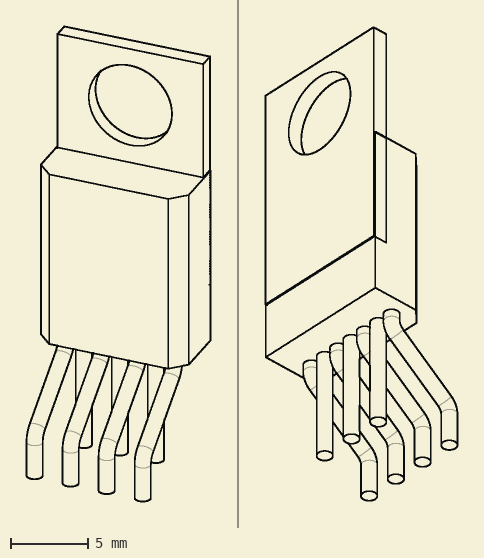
import cadquery as cq
import math


total_height = 28.85
back_y = 2.83

housing_width = 10.41
housing_depth = 4.6
housing_bottom = 7.95
housing_top = 20.48
housing_chamfer = 1.0

tab_width = 10.27
tab_thickness = 1.13
tab_proud = 0.1
tab_bottom = 12.12
hole_diameter = 5.85
hole_drop = 4.15

lead_count = 7
lead_pitch = 1.27
lead_diameter = 1.07
lead_offset = 5.1
bend_radius = lead_diameter
upper_corner_z = 6.9
lower_corner_z = 3.03


def make_tab_plate():
    """Plain rectangular plate, also used to cut its recess in the housing."""
    return cq.Workplane("XY").box(
        tab_width, tab_thickness, total_height - tab_bottom, centered=(True, False, False)
    ).translate((0, back_y - tab_thickness, tab_bottom))


def make_tab():
    """Tab plate with its round mounting hole."""
    hole = (
        cq.Workplane("XZ", origin=(0, back_y, total_height - hole_drop))
        .circle(hole_diameter / 2)
        .extrude(tab_thickness)
    )
    return make_tab_plate().cut(hole)


def make_housing():
    """Block with chamfered front side edges and a recess for the tab."""
    housing_back = back_y - tab_proud
    block = (
        cq.Workplane("XY")
        .box(housing_width, housing_depth, housing_top - housing_bottom, centered=(True, False, False))
        .translate((0, housing_back - housing_depth, housing_bottom))
        .faces("<Y")
        .edges("|Z")
        .chamfer(housing_chamfer)
    )
    return block.cut(make_tab_plate())


def make_straight_lead(x):
    """Straight round lead from the housing bottom to the tip."""
    return cq.Workplane("XY", origin=(x, 0, 0)).circle(lead_diameter / 2).extrude(housing_bottom)


def make_bent_lead(x):
    """Round lead swept down, forward along a slope, then down again."""
    bend_angle = math.atan2(lead_offset, upper_corner_z - lower_corner_z)
    tangent_length = bend_radius * math.tan(bend_angle / 2)
    slope_y = tangent_length * math.sin(bend_angle)
    slope_z = tangent_length * math.cos(bend_angle)
    path = (
        cq.Workplane("YZ", origin=(x, 0, 0))
        .moveTo(0, housing_bottom)
        .lineTo(0, upper_corner_z + tangent_length)
        .tangentArcPoint((-slope_y, upper_corner_z - slope_z), relative=False)
        .lineTo(-lead_offset + slope_y, lower_corner_z + slope_z)
        .tangentArcPoint((-lead_offset, lower_corner_z - tangent_length), relative=False)
        .lineTo(-lead_offset, 0)
    )
    return cq.Workplane("XY", origin=(x, 0, housing_bottom)).circle(lead_diameter / 2).sweep(path)


def make_leads():
    """Row of separate leads, alternating bent and straight, with bent leads at both ends."""
    leads = []
    for index in range(lead_count):
        x = (index - (lead_count - 1) / 2) * lead_pitch
        is_bent = index % 2 == 0
        lead = make_bent_lead(x) if is_bent else make_straight_lead(x)
        leads.append(lead.val())
    return leads


tab = make_tab()
housing = make_housing()
leads = make_leads()

result = cq.Compound.makeCompound([housing.val(), tab.val(), *leads])